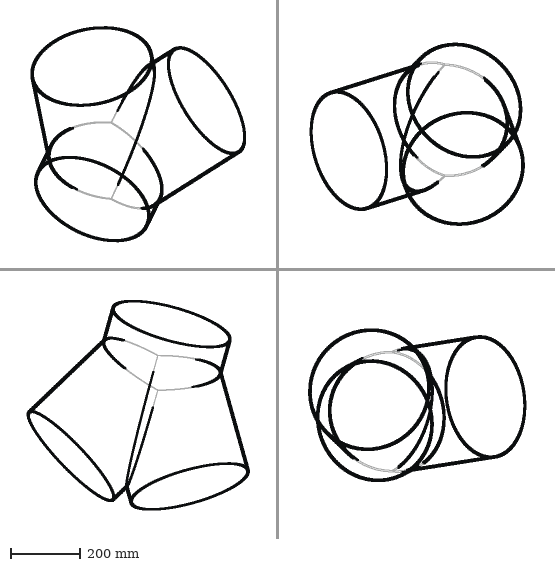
import cadquery as cq
import math

width = 663.5
depth = 549.5
outer_diameter = 355.5
inner_diameter = 346.5
branch_angle = 30.0

outer_radius = outer_diameter / 2
sine = math.sin(math.radians(branch_angle))
cosine = math.cos(math.radians(branch_angle))
branch_length = (width / 2 - outer_radius * cosine) / sine
junction_y = depth - branch_length * cosine - outer_radius * sine

mitre_slope = math.tan(math.radians(branch_angle / 2))
mitre_edge_y = junction_y - width * mitre_slope


def zone(points):
    """Prism over an XY outline, tall enough to hold the whole pipe."""
    return cq.Workplane("XY").polyline(points).close().extrude(outer_diameter, both=True)


def inlet(radius):
    """Straight pipe along +Y, ending at the two mitre planes."""
    cylinder = cq.Workplane("XZ").circle(radius).extrude(-junction_y)
    below_mitres = zone([(0, junction_y), (width, mitre_edge_y), (-width, mitre_edge_y)])
    return cylinder.intersect(below_mitres)


def right_branch(radius):
    """Branch on the +X side, cut by its mitre plane and the X = 0 plane."""
    back_extension = outer_diameter
    start = (-back_extension * sine, junction_y - back_extension * cosine, 0)
    axis_plane = cq.Plane(origin=start, xDir=(0, 0, 1), normal=(sine, cosine, 0))
    cylinder = cq.Workplane(axis_plane).circle(radius).extrude(back_extension + branch_length)
    beyond_mitre = zone([(0, junction_y), (width, mitre_edge_y), (width, depth), (0, depth)])
    return cylinder.intersect(beyond_mitre)


def filled_pipe(radius):
    """Inlet and both branches as one solid body of the given radius."""
    branch = right_branch(radius)
    return inlet(radius).union(branch).union(branch.mirror("YZ"))


result = filled_pipe(outer_radius).cut(filled_pipe(inner_diameter / 2))